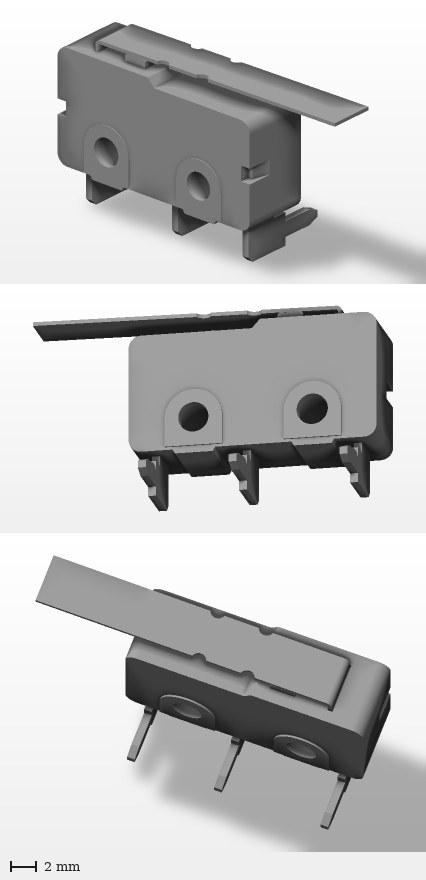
import cadquery as cq
import math


HOUSING_LENGTH = 19.8
HOUSING_DEPTH = 6.12
HOUSING_HEIGHT = 10.25
LOW_TOP = 9.53
STEP_START = 9.3
STEP_END = 9.98
CORNER_RADIUS = 1.0

HOLE_SPACING = 9.5
LEFT_HOLE_X = 5.1
RIGHT_HOLE_X = LEFT_HOLE_X + HOLE_SPACING
HOLE_Z = 2.52
HOLES = ((LEFT_HOLE_X, 2.5), (RIGHT_HOLE_X, 2.4))
PAD_RADIUS = 2.3
PAD_BOTTOM = 0.22
FRONT_PAD_HEIGHT = 0.08
BACK_PAD_HEIGHT = 0.17
DEPTH_OVER_PADS = FRONT_PAD_HEIGHT + HOUSING_DEPTH + BACK_PAD_HEIGHT
FOOT_WIDTH = 3.4
FOOT_HEIGHT = 0.33
FOOT_BEVEL = 0.2

NOTCH_BOTTOM = 4.25
NOTCH_HEIGHT = 1.35
NOTCH_DEPTH = 0.9
HOOK_FRONT = 0.85
HOOK_FRONT_RISE = 0.42
RAMP_START = 1.03
RAMP_END = 2.45

OVERALL_LENGTH = 27.7
LEVER_TOP = 11.58
LEVER_TILT = 0.75
LEVER_THICKNESS = 0.3
LEVER_WIDTH = 4.02
LEVER_FRONT = 1.03
LEG_X = 3.02
BEND_RADIUS = 0.45
NOTCH_CENTERS = (10.0, 14.05)
NOTCH_CHORD = 1.15
NOTCH_RISE = 0.42

SLOT_DEPTH = 0.55
SLOT_GAP = 0.15
SLOT_BOTTOM = HOUSING_HEIGHT - SLOT_DEPTH

PLUNGER_LEFT = 6.1
PLUNGER_LENGTH = 2.05
PLUNGER_TOP = 11.0
PLUNGER_BEVEL = 0.15

TERMINAL_CENTERS = (1.8, 10.67, 17.93)
TERMINAL_THICKNESS = 0.65
TERMINAL_FRONT = 1.7
TERMINAL_BOTTOM = -3.69
TERMINAL_CORNER = 0.5
NECK_BACK = 4.7
SHOULDER_Z = -0.83
PIN_TOP = -1.58
PIN_BOTTOM = -2.95
PIN_LENGTH = 3.8
PIN_TIP_Y = HOUSING_DEPTH + PIN_LENGTH
PIN_TAPER_LENGTH = 0.97
PIN_TAPER_INSET = 0.4


def side_profile(front_y):
    """Sketch plane facing the front, so that extruding goes toward the back."""
    return cq.Workplane("XZ", origin=(0, front_y, 0))


def box(x, y, z, length, depth, height):
    """Box placed by its lowest corner."""
    return cq.Workplane("XY").box(length, depth, height, centered=False).translate((x, y, z))


def make_housing():
    outline = [
        (0, 0),
        (HOUSING_LENGTH, 0),
        (HOUSING_LENGTH, LOW_TOP),
        (STEP_END, LOW_TOP),
        (STEP_START, HOUSING_HEIGHT),
        (0, HOUSING_HEIGHT),
    ]
    block = side_profile(0).polyline(outline).close().extrude(-HOUSING_DEPTH)
    return block.edges("|Y").edges("<X or >X").fillet(CORNER_RADIUS)


def make_pad(hole_x):
    """Arched pad running through the housing and standing proud on both faces."""
    return (
        side_profile(-FRONT_PAD_HEIGHT)
        .moveTo(hole_x - PAD_RADIUS, PAD_BOTTOM)
        .lineTo(hole_x + PAD_RADIUS, PAD_BOTTOM)
        .lineTo(hole_x + PAD_RADIUS, HOLE_Z)
        .threePointArc((hole_x, HOLE_Z + PAD_RADIUS), (hole_x - PAD_RADIUS, HOLE_Z))
        .close()
        .extrude(-DEPTH_OVER_PADS)
    )


def make_foot(hole_x):
    """Shallow foot with bevelled ends, as deep as the housing."""
    half = FOOT_WIDTH / 2
    outline = [
        (hole_x - half, 0),
        (hole_x - half + FOOT_BEVEL, -FOOT_HEIGHT),
        (hole_x + half - FOOT_BEVEL, -FOOT_HEIGHT),
        (hole_x + half, 0),
    ]
    return side_profile(0).polyline(outline).close().extrude(-HOUSING_DEPTH)


def make_hole(hole_x, diameter):
    start = side_profile(-FRONT_PAD_HEIGHT)
    return start.center(hole_x, HOLE_Z).circle(diameter / 2).extrude(-DEPTH_OVER_PADS)


def make_snap_notch():
    """Cutter for the left end wall; the hook is the part left standing."""
    hook_front_x = NOTCH_DEPTH - HOOK_FRONT_RISE
    outline = [
        (0, 0),
        (NOTCH_DEPTH, 0),
        (NOTCH_DEPTH, HOOK_FRONT),
        (hook_front_x, HOOK_FRONT),
        (hook_front_x, RAMP_START),
        (0, RAMP_END),
    ]
    base = cq.Workplane("XY", origin=(0, 0, NOTCH_BOTTOM))
    return base.polyline(outline).close().extrude(NOTCH_HEIGHT)


def make_leg_slot():
    return box(
        LEG_X - SLOT_GAP,
        LEVER_FRONT,
        SLOT_BOTTOM,
        SLOT_GAP + LEVER_THICKNESS,
        LEVER_WIDTH + SLOT_GAP,
        SLOT_DEPTH,
    )


def make_lever():
    """Bent strip: a leg standing in the slot and a slightly rising arm."""
    tilt = math.radians(LEVER_TILT)
    tip_x = OVERALL_LENGTH - LEVER_THICKNESS * math.sin(tilt)
    leg_inner_x = LEG_X + LEVER_THICKNESS
    outer_z = LEVER_TOP - (tip_x - LEG_X) * math.tan(tilt)
    inner_z = LEVER_TOP - (tip_x - leg_inner_x) * math.tan(tilt) - LEVER_THICKNESS / math.cos(tilt)
    outline = [
        (LEG_X, SLOT_BOTTOM),
        (LEG_X, outer_z),
        (tip_x, LEVER_TOP),
        (OVERALL_LENGTH, LEVER_TOP - LEVER_THICKNESS * math.cos(tilt)),
        (leg_inner_x, inner_z),
        (leg_inner_x, SLOT_BOTTOM),
    ]
    strip = side_profile(LEVER_FRONT).polyline(outline).close().extrude(-LEVER_WIDTH)

    middle_y = LEVER_FRONT + LEVER_WIDTH / 2
    outer_bend = cq.selectors.NearestToPointSelector((LEG_X, middle_y, outer_z))
    inner_bend = cq.selectors.NearestToPointSelector((leg_inner_x, middle_y, inner_z))
    strip = strip.edges(outer_bend).fillet(BEND_RADIUS)
    strip = strip.edges(inner_bend).fillet(BEND_RADIUS - LEVER_THICKNESS)

    radius = ((NOTCH_CHORD / 2) ** 2 + NOTCH_RISE ** 2) / (2 * NOTCH_RISE)
    offset = LEVER_WIDTH / 2 + radius - NOTCH_RISE
    centers = [(x, middle_y + side * offset) for x in NOTCH_CENTERS for side in (-1, 1)]
    above_housing = cq.Workplane("XY", origin=(0, 0, HOUSING_HEIGHT))
    notches = above_housing.pushPoints(centers).circle(radius).extrude(LEVER_TOP - HOUSING_HEIGHT)
    return strip.cut(notches)


def make_plunger():
    block = box(
        PLUNGER_LEFT,
        LEVER_FRONT,
        HOUSING_HEIGHT,
        PLUNGER_LENGTH,
        LEVER_WIDTH,
        PLUNGER_TOP - HOUSING_HEIGHT,
    )
    return block.edges("|Y and >Z").chamfer(PLUNGER_BEVEL)


def make_terminal(center_x):
    """Flat blade below the housing with a tapered pin pointing backward."""
    taper_start = PIN_TIP_Y - PIN_TAPER_LENGTH
    outline = [
        (TERMINAL_FRONT, TERMINAL_BOTTOM + TERMINAL_CORNER),
        (TERMINAL_FRONT + TERMINAL_CORNER, TERMINAL_BOTTOM),
        (HOUSING_DEPTH, TERMINAL_BOTTOM),
        (HOUSING_DEPTH, PIN_BOTTOM),
        (taper_start, PIN_BOTTOM),
        (PIN_TIP_Y, PIN_BOTTOM + PIN_TAPER_INSET),
        (PIN_TIP_Y, PIN_TOP - PIN_TAPER_INSET),
        (taper_start, PIN_TOP),
        (HOUSING_DEPTH, PIN_TOP),
        (HOUSING_DEPTH, SHOULDER_Z),
        (NECK_BACK, SHOULDER_Z),
        (NECK_BACK, 0),
        (TERMINAL_FRONT, 0),
    ]
    plane = cq.Workplane("YZ", origin=(center_x - TERMINAL_THICKNESS / 2, 0, 0))
    return plane.polyline(outline).close().extrude(TERMINAL_THICKNESS)


result = make_housing()
for hole_center, _ in HOLES:
    result = result.union(make_pad(hole_center)).union(make_foot(hole_center))

for hole_center, hole_diameter in HOLES:
    result = result.cut(make_hole(hole_center, hole_diameter))

left_notch = make_snap_notch()
right_notch = left_notch.mirror("YZ", (HOUSING_LENGTH / 2, 0, 0))
result = result.cut(left_notch).cut(right_notch).cut(make_leg_slot())

result = result.union(make_lever()).union(make_plunger())
for terminal_center in TERMINAL_CENTERS:
    result = result.union(make_terminal(terminal_center))